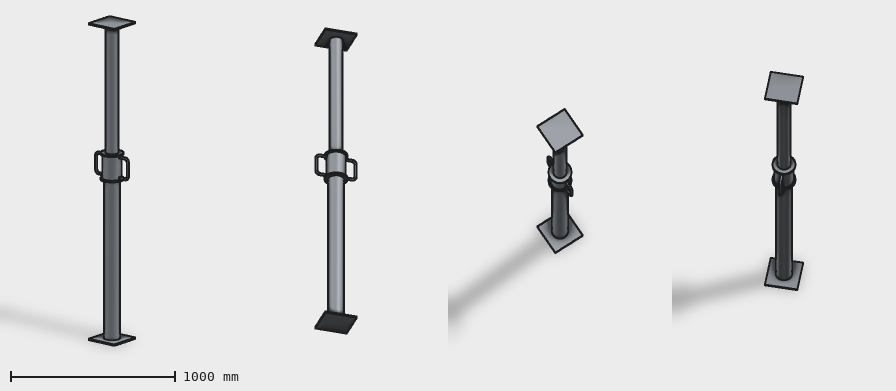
import cadquery as cq

total_height = 2000.0
plate_side = 200.0
plate_thickness = 10.0

upper_tube_diameter = 80.0
lower_tube_diameter = 100.0
sleeve_diameter = 120.0
flange_diameter = 140.0

collar_bottom = 1010.0
collar_height = 170.0
flange_thickness = 10.0
collar_top = collar_bottom + collar_height

rod_diameter = 15.0
handle_span = 265.0
handle_height = 145.0
bend_radius = 25.0
handle_middle = (collar_bottom + collar_top) / 2


def cylinder(diameter, bottom, top):
    """Vertical cylinder on the prop axis."""
    return cq.Workplane("XY").workplane(offset=bottom).circle(diameter / 2).extrude(top - bottom)


def end_plate(bottom):
    """Square bearing plate."""
    return (
        cq.Workplane("XY")
        .workplane(offset=bottom)
        .rect(plate_side, plate_side)
        .extrude(plate_thickness)
    )


def collar():
    """Sleeve with a round flange at each end."""
    sleeve = cylinder(sleeve_diameter, collar_bottom, collar_top)
    for bottom in (collar_bottom, collar_top - flange_thickness):
        sleeve = sleeve.union(cylinder(flange_diameter, bottom, bottom + flange_thickness))
    return sleeve


def handle(side):
    """C-shaped round rod; side is +1 or -1 along X. Its ends are buried in the sleeve."""
    root = side * upper_tube_diameter / 2
    grip = side * (handle_span - rod_diameter) / 2
    bend_start = grip - side * bend_radius
    half_rise = (handle_height - rod_diameter) / 2
    low = handle_middle - half_rise
    high = handle_middle + half_rise
    path = (
        cq.Workplane("XZ")
        .moveTo(root, low)
        .lineTo(bend_start, low)
        .tangentArcPoint((grip, low + bend_radius), relative=False)
        .lineTo(grip, high - bend_radius)
        .tangentArcPoint((bend_start, high), relative=False)
        .lineTo(root, high)
    )
    section = cq.Workplane("YZ", origin=(root, 0, low)).circle(rod_diameter / 2)
    return section.sweep(path)


result = end_plate(0).union(end_plate(total_height - plate_thickness))
result = result.union(cylinder(lower_tube_diameter, 0, collar_bottom))
result = result.union(cylinder(upper_tube_diameter, collar_top, total_height))
result = result.union(collar())
for side in (-1, 1):
    result = result.union(handle(side))